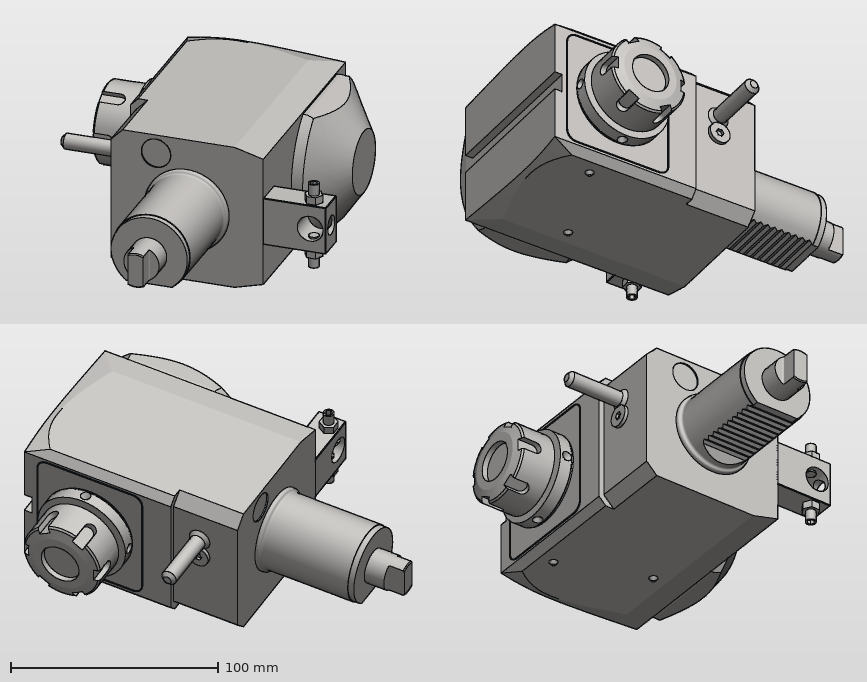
import cadquery as cq


half_height = 37.5
right_x = 39.1
upper_left_x = -42.0
lower_left_x = -39.1
upper_chamfer = 4.0
lower_chamfer = 6.0
step_y = 35.2
back_y = 115.6
taper_start_x = 24.5
taper_drop = 4.0
back_slope_run = 12.0
crown_x = -15.0
crown_y = 112.5
crown_tangents = [(1, 0.8), (1, 0), (1, -0.3)]
back_slot_width = 10.2
back_slot_depth = 4.1
plug_x = -16.0
plug_z = 27.6
plug_radius = 7.5
plug_recess = 0.8
groove_width = 0.4
panel_y_min = 50.8
panel_y_max = 108.7
panel_half_height = 31.8
panel_corner = 5.5

spindle_y = 79.7
flange_radius = 24.0
flange_left_x = -50.0
flange_relief_x = -43.0
flange_relief_radius = 23.5
flange_hole_x = -46.0
flange_hole_radius = 2.6
flange_hole_depth = 3.4
neck_radius = 17.0
nut_back_x = -51.3
nut_front_x = -71.6
nut_edge_x = -69.2
nut_bevel = 1.0
nut_radius = 21.0
rim_radius = 14.9
mouth_radius = 10.3
mouth_depth = 3.0
nut_slot_width = 6.4
nut_slot_end_x = -59.5
upper_slot_end_x = -57.2
nut_slot_floor = 17.9

cap_rim_x = 45.0
cap_end_x = 61.7
cap_radius = 40.5
cap_end_radius = 16.4
cap_flat_z = 32.5
cap_flat_end_x = 41.4
cap_flat_slope = 0.23
cap_back_y = 111.5
cap_back_slope = 0.1

collar_radius = 21.6
collar_length = 1.1
collar_blend_length = 2.6
shank_radius = 20.0
shank_end_y = -53.2
end_band_y = -50.0
end_band_radius = 19.5
flat_z = -15.6
flat_start_y = -9.8
flat_ramp_y = -6.4
tooth_pitch = 4.0
tooth_depth = 1.0
tooth_count = 10
drive_radius = 9.0
drive_shoulder_y = -64.0
drive_end_y = -72.4
drive_chamfer = 0.5
tang_width = 7.9
tang_root_fillet = 0.8

pin_y = 20.9
pin_z = 16.0
pin_radius = 4.0
pin_tip_x = -71.6
pin_tip_chamfer = 1.9
screw_z = 6.2
screw_radius = 5.6
screw_head = 1.9
socket_width = 4.1
socket_depth = 1.5

bracket_end_x = 71.0
bracket_y_min = 0.5
bracket_y_max = 15.6
bracket_half_height = 12.5
bracket_edge_chamfer = 0.4
cross_hole_radius = 4.9
bracket_hole_x = 63.0
bracket_hole_radius = 6.5
stud_y = 5.8
stud_radius = 2.6
stud_end_z = 22.2
stud_inner_z = 5.6
stud_socket_width = 3.8
stud_socket_depth = 2.8
hex_nut_width = 9.2
hex_nut_height = 4.0

nozzles = [(-30.3, 88.5), (16.7, 71.3)]
nozzle_radius = 2.3
nozzle_tip_radius = 0.8
nozzle_height = 1.7

overlap = 1.9


def revolve_about_x(profile, axis_y, axis_z):
    """Turn (x, radius) points about a line parallel to X."""
    outline = cq.Workplane("XY").polyline(profile).close()
    return outline.revolve(360, (0, 0, 0), (1, 0, 0)).translate((0, axis_y, axis_z))


def revolve_about_y(profile):
    """Turn (radius, y) points about the Y axis."""
    return cq.Workplane("XY").polyline(profile).close().revolve(360, (0, 0, 0), (0, 1, 0))


def housing_section(left_x, chamfer, y_start, y_end):
    side_z = half_height - taper_drop
    right_side = [(left_x + chamfer, half_height), (taper_start_x, half_height), (right_x, side_z)]
    upper = [(left_x, half_height - chamfer)] + right_side
    lower = [(x, -z) for x, z in reversed(upper)]
    outline = cq.Workplane("XZ", origin=(0, y_start, 0)).polyline(upper + lower).close()
    return outline.extrude(y_start - y_end)


def back_slope_cutter():
    """Bevel ruled from a crowned curve on the top side to a like curve on the back face."""
    start_y = back_y - back_slope_run
    far_x = 2 * right_x
    far_y = 2 * back_y

    def bevel_outline(left, right, shift_y, z):
        edge_y = start_y + shift_y
        crown = (crown_x, crown_y + shift_y)
        return (
            cq.Workplane("XY", origin=(0, 0, z))
            .moveTo(-far_x, edge_y)
            .lineTo(left, edge_y)
            .spline([crown, (right, edge_y)], crown_tangents, includeCurrent=True)
            .lineTo(far_x, edge_y)
            .lineTo(far_x, far_y)
            .lineTo(-far_x, far_y)
            .close()
            .val()
        )

    top_left = upper_left_x + upper_chamfer
    top = bevel_outline(top_left, taper_start_x, 0, half_height)
    side = bevel_outline(upper_left_x, right_x, back_slope_run, half_height - taper_drop)
    return cq.Workplane(cq.Solid.makeLoft([side, top], True))


def housing():
    upper = housing_section(upper_left_x, upper_chamfer, step_y, back_y)
    cutter = back_slope_cutter()
    upper = upper.cut(cutter).cut(cutter.mirror("XY"))
    body = upper.union(housing_section(lower_left_x, lower_chamfer, 0, step_y))

    slot_length = 4 * right_x
    slot = cq.Workplane("XY").box(slot_length, 2 * back_slot_depth, back_slot_width)
    body = body.cut(slot.translate((0, back_y, 0)))

    recess = cq.Workplane("XZ").center(plug_x, plug_z).circle(plug_radius).extrude(-plug_recess)
    return body.cut(recess)


def panel_groove():
    """Joint line around the spindle panel on the left face."""
    length = panel_y_max - panel_y_min
    height = 2 * panel_half_height
    centre = (upper_left_x, (panel_y_min + panel_y_max) / 2, 0)
    plane = cq.Workplane("YZ", origin=centre)
    outer = plane.rect(length, height).extrude(groove_width)
    outer = outer.edges("|X").fillet(panel_corner)
    inner = plane.rect(length - 2 * groove_width, height - 2 * groove_width).extrude(groove_width)
    inner = inner.edges("|X").fillet(panel_corner - groove_width)
    return outer.cut(inner)


def around_spindle(cutter, angle):
    """Place a cutter made above the X axis at an angle around the spindle."""
    return cutter.rotate((0, 0, 0), (1, 0, 0), angle).translate((0, spindle_y, 0))


def nut_slot(angle, end_x):
    start_x = nut_front_x - overlap
    half_width = nut_slot_width / 2
    round_x = end_x - half_width
    slot = (
        cq.Workplane("XY", origin=(0, 0, nut_slot_floor))
        .moveTo(start_x, -half_width)
        .lineTo(round_x, -half_width)
        .threePointArc((end_x, 0), (round_x, half_width))
        .lineTo(start_x, half_width)
        .close()
        .extrude(nut_radius)
    )
    return around_spindle(slot, angle)


def flange_hole(angle):
    """Conical spanner hole in the rim of the flange."""
    height = 2 * flange_hole_depth
    cone = cq.Solid.makeCone(
        0,
        2 * flange_hole_radius,
        height,
        pnt=cq.Vector(flange_hole_x, 0, flange_radius - flange_hole_depth),
    )
    return around_spindle(cq.Workplane(cone), angle)


def spindle():
    collet_x = nut_front_x + mouth_depth
    profile = [
        (collet_x, 0),
        (collet_x, mouth_radius),
        (nut_front_x, mouth_radius),
        (nut_front_x, rim_radius),
        (nut_edge_x - nut_bevel, nut_radius - nut_bevel),
        (nut_edge_x, nut_radius),
        (nut_back_x, nut_radius),
        (nut_back_x, neck_radius),
        (flange_left_x, neck_radius),
        (flange_left_x, flange_radius),
        (flange_relief_x, flange_radius),
        (flange_relief_x, flange_relief_radius),
        (upper_left_x + overlap, flange_relief_radius),
        (upper_left_x + overlap, 0),
    ]
    body = revolve_about_x(profile, spindle_y, 0)

    for angle in (30, -30):
        body = body.cut(nut_slot(angle, upper_slot_end_x))
    for angle in (90, 150, 210, 270):
        body = body.cut(nut_slot(angle, nut_slot_end_x))
    for angle in (0, 90, 180, 270):
        body = body.cut(flange_hole(angle))
    return body


def bearing_cap():
    start_x = right_x - overlap
    profile = [
        (start_x, 0),
        (start_x, cap_radius),
        (cap_rim_x, cap_radius),
        (cap_end_x, cap_end_radius),
        (cap_end_x, 0),
    ]
    cap = revolve_about_x(profile, spindle_y, 0)

    end_z = cap_flat_z - cap_flat_slope * (cap_end_x - cap_flat_end_x)
    upper = [(start_x, cap_flat_z), (cap_flat_end_x, cap_flat_z), (cap_end_x, end_z)]
    lower = [(x, -z) for x, z in reversed(upper)]
    side_limits = cq.Workplane("XZ").polyline(upper + lower).close().extrude(-2 * back_y)

    end_y = cap_back_y - cap_back_slope * (cap_end_x - cap_rim_x)
    back_outline = [
        (start_x, 0),
        (start_x, cap_back_y),
        (cap_rim_x, cap_back_y),
        (cap_end_x, end_y),
        (cap_end_x, 0),
    ]
    back_limit = cq.Workplane("XY").polyline(back_outline).close().extrude(half_height, both=True)
    return cap.intersect(side_limits).intersect(back_limit)


def shank_flat_cutter():
    """Toothed flat along the underside of the shank, with a ramp at its inner end."""
    deep_z = -2 * shank_radius
    outline = [(flat_ramp_y, deep_z), (flat_ramp_y, -shank_radius), (flat_start_y, flat_z)]
    for i in range(tooth_count):
        crest_y = flat_start_y - i * tooth_pitch
        outline.append((crest_y - tooth_pitch / 2, flat_z + tooth_depth))
        outline.append((crest_y - tooth_pitch, flat_z))
    outline += [(shank_end_y - overlap, flat_z), (shank_end_y - overlap, deep_z)]
    return cq.Workplane("YZ").polyline(outline).close().extrude(shank_radius, both=True)


def shank():
    mid_radius = (collar_radius + shank_radius) / 2
    mid_y = -(collar_length + collar_blend_length / 2)
    end_y = -(collar_length + collar_blend_length)
    collar = (
        cq.Workplane("XY")
        .moveTo(0, 0)
        .lineTo(collar_radius, 0)
        .lineTo(collar_radius, -collar_length)
        .tangentArcPoint((mid_radius, mid_y), relative=False)
        .tangentArcPoint((shank_radius, end_y), relative=False)
        .lineTo(0, end_y)
        .close()
        .revolve(360, (0, 0, 0), (0, 1, 0))
    )
    barrel = revolve_about_y([
        (0, overlap),
        (shank_radius, overlap),
        (shank_radius, end_band_y),
        (end_band_radius, end_band_y),
        (end_band_radius, shank_end_y),
        (0, shank_end_y),
    ])
    return barrel.cut(shank_flat_cutter()).union(collar)


def drive_tang():
    start_y = shank_end_y + overlap
    drive = cq.Workplane("XZ", origin=(0, start_y, 0)).circle(drive_radius)
    drive = drive.extrude(start_y - drive_end_y).faces("<Y").edges().chamfer(drive_chamfer)
    half = tang_width / 2
    relief = cq.Workplane("XY").box(
        drive_radius, 2 * (drive_shoulder_y - drive_end_y), 4 * drive_radius
    )
    relief = relief.edges("|Z").fillet(tang_root_fillet)
    for side in (-1, 1):
        relief_x = side * (half + drive_radius / 2)
        drive = drive.cut(relief.translate((relief_x, drive_end_y, 0)))
    return drive


def locating_pin():
    profile = [
        (pin_tip_x, 0),
        (pin_tip_x, pin_radius - pin_tip_chamfer),
        (pin_tip_x + pin_tip_chamfer, pin_radius),
        (lower_left_x - screw_head, pin_radius),
        (lower_left_x, screw_radius),
        (lower_left_x + overlap, screw_radius),
        (lower_left_x + overlap, 0),
    ]
    return revolve_about_x(profile, pin_y, pin_z)


def plug_screw():
    outer_x = lower_left_x - screw_head
    plane = cq.Workplane("YZ", origin=(outer_x, pin_y, screw_z))
    head = plane.circle(screw_radius).extrude(screw_head + overlap)
    socket = plane.polygon(6, socket_width).extrude(socket_depth)
    return head.cut(socket)


def bracket():
    start_x = right_x - overlap
    length = bracket_end_x - start_x
    depth = bracket_y_max - bracket_y_min
    arm = cq.Workplane("XY").box(length, depth, 2 * bracket_half_height)
    arm = arm.translate((start_x + length / 2, bracket_y_min + depth / 2, 0))
    arm = arm.edges("|X or >X").chamfer(bracket_edge_chamfer)
    hole = cq.Workplane("XZ").center(bracket_hole_x, 0).circle(bracket_hole_radius)
    arm = arm.cut(hole.extrude(-2 * bracket_y_max))

    cross_hole_y = (bracket_y_min + bracket_y_max) / 2
    cross_hole = cq.Workplane("YZ", origin=(bracket_hole_x, cross_hole_y, 0)).circle(cross_hole_radius)
    arm = arm.cut(cross_hole.extrude(bracket_end_x - bracket_hole_x))

    stud = cq.Workplane("XY", origin=(bracket_hole_x, stud_y, stud_inner_z))
    stud = stud.circle(stud_radius).extrude(stud_end_z - stud_inner_z)
    hex_nut = cq.Workplane("XY", origin=(bracket_hole_x, stud_y, bracket_half_height))
    hex_nut = hex_nut.polygon(6, hex_nut_width).extrude(hex_nut_height)
    socket = cq.Workplane("XY", origin=(bracket_hole_x, stud_y, stud_end_z))
    socket = socket.polygon(6, stud_socket_width).extrude(-stud_socket_depth)
    fastener = stud.union(hex_nut).cut(socket)
    return arm.union(fastener).union(fastener.mirror("XY"))


def nozzle(x, y):
    base = cq.Workplane("XY", origin=(x, y, -half_height + overlap)).circle(nozzle_radius)
    base = base.extrude(-overlap)
    tip = (
        cq.Workplane("XY", origin=(x, y, -half_height))
        .circle(nozzle_radius)
        .workplane(offset=-nozzle_height)
        .circle(nozzle_tip_radius)
        .loft()
    )
    return base.union(tip)


result = housing().cut(panel_groove())
for piece in (
    spindle(),
    bearing_cap(),
    shank(),
    drive_tang(),
    locating_pin(),
    plug_screw(),
    bracket(),
):
    result = result.union(piece)
for nozzle_x, nozzle_y in nozzles:
    result = result.union(nozzle(nozzle_x, nozzle_y))